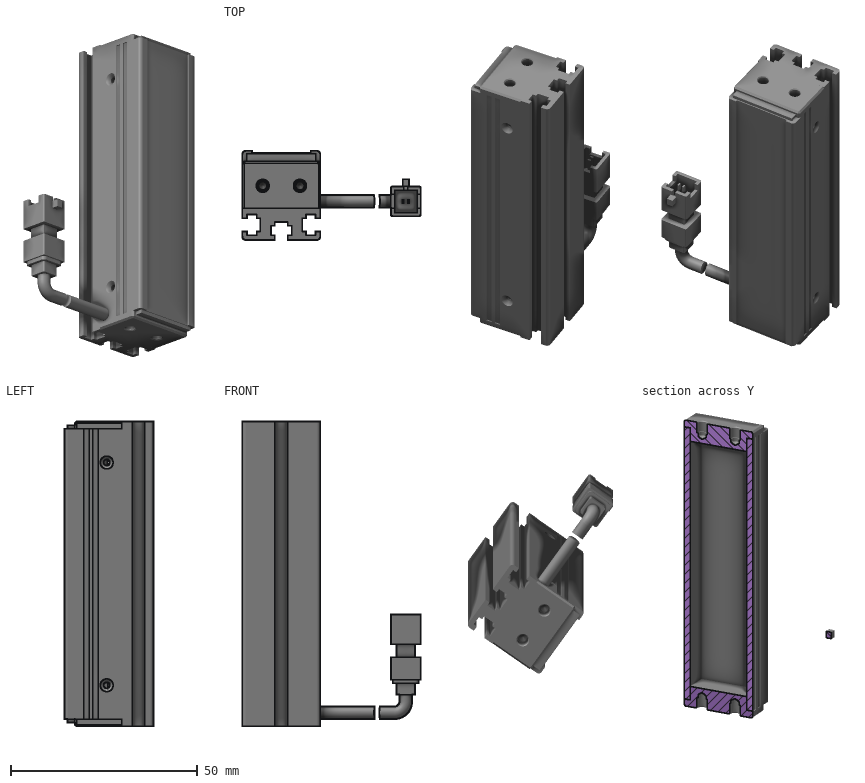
import cadquery as cq
import math


LENGTH = 82.0
WIDTH = 21.0
DEPTH = 24.0
CORNER_RADIUS = 1.0
MID_Z = LENGTH / 2

SLOT_OPENING = 3.45
SLOT_LIP = 1.3
SLOT_UNDERCUT_WIDTH = 5.5
SLOT_UNDERCUT_END = 3.85
SLOT_DEPTH = 4.8
SIDE_SLOT_Y = 4.1

GROOVE_WIDTH = 1.5
GROOVE_DEPTH = 0.3
GROOVE_CENTRES_Y = (15.6, 18.1)

CAVITY_BACK_Y = 8.5
CAVITY_FRONT_Y = 21.15
CAVITY_DEPTH = CAVITY_FRONT_Y - CAVITY_BACK_Y
SIDE_WALL = 2.0
CAVITY_WIDTH = WIDTH - 2 * SIDE_WALL

SIDE_HOLE_Y = 12.6
SIDE_HOLE_OFFSET_Z = 29.9
SIDE_HOLE_RADIUS = 0.8
SIDE_SINK_RADIUS = 1.7

DIFFUSER_WIDTH = 18.6
DIFFUSER_FRONT_Y = 23.2
DIFFUSER_LENGTH = 79.95
WINDOW_WIDTH = 15.75
PAD_HEIGHT = 0.25

CAP_THICKNESS = 2.0
CAP_CHAMFER = 0.5
PLUG_LENGTH = 4.0
CAP_HOLE_OFFSET_X = 5.0
CAP_HOLE_Y = 14.6
CAP_SINK_RADIUS = 1.7
THREAD_RADIUS = 1.5
THREAD_DEPTH = 3.0
DRILL_RADIUS = 1.15
DRILL_DEPTH = 4.0
DRILL_POINT_ANGLE = 118.0

BODY_LENGTH = LENGTH - 2 * CAP_THICKNESS

BOARD_BACK_Y = 12.4
BOARD_THICKNESS = 1.6
BOARD_LENGTH = BODY_LENGTH - 2 * PLUG_LENGTH

CABLE_RADIUS = 1.7
CABLE_Y = 10.4
CABLE_Z = CAP_THICKNESS + CABLE_RADIUS
STUB_END_X = 25.1
BREAK_GAP = 1.4
BREAK_SAG = 0.205
BEND_RADIUS = 3.0

CONNECTOR_X = 33.45
BOOT_WIDTH = 5.0
BOOT_BOTTOM_Z = 8.5
FLANGE_WIDTH = 7.05
FLANGE_BOTTOM_Z = 11.6
FLANGE_RADIUS = 1.1
BLOCK_WIDTH = 8.0
BLOCK_BOTTOM_Z = 12.55
BLOCK_RADIUS = 0.5
NECK_BOTTOM_Z = 18.6
SHELL_BOTTOM_Z = 22.05
SHELL_TOP_Z = 30.1
SHELL_WALL = 1.0
SOCKET_WIDTH = BLOCK_WIDTH - 2 * SHELL_WALL
SOCKET_FLOOR_Z = SHELL_BOTTOM_Z + SHELL_WALL
SIDE_NOTCH_WIDTH = 3.8
NOTCH_DEPTH = 2.0
KEY_SLOT_WIDTH = 1.0
LUG_WIDTH = 1.7
LUG_REACH = 2.0
LUG_HEIGHT = 2.0
LUG_DROP = 1.3
CONTACT_SIZE_X = 0.5
CONTACT_SIZE_Y = 1.0
CONTACT_OFFSET_X = 0.7
CONTACT_DROP = 0.5


def box(size_x, size_y, size_z, x=0.0, y=0.0, z=0.0):
    """Box centred on x and standing up from y and z."""
    return cq.Workplane("XY").box(size_x, size_y, size_z, centered=(True, False, False)).translate((x, y, z))


def post(width, bottom, top, corner_radius=0.0):
    """Square post on the connector axis."""
    solid = (
        cq.Workplane("XY", origin=(CONNECTOR_X, CABLE_Y, bottom))
        .rect(width, width)
        .extrude(top - bottom)
    )
    return solid.edges("|Z").fillet(corner_radius) if corner_radius else solid


def t_slot():
    """Full-length T-slot cutter that opens on the plane Y = 0 and runs toward +Y."""
    half_opening = SLOT_OPENING / 2
    half_undercut = SLOT_UNDERCUT_WIDTH / 2
    return (
        cq.Workplane("XY")
        .moveTo(-half_opening, 0)
        .lineTo(-half_opening, SLOT_LIP)
        .lineTo(-half_undercut, SLOT_LIP)
        .lineTo(-half_undercut, SLOT_UNDERCUT_END)
        .lineTo(-half_opening, SLOT_UNDERCUT_END)
        .lineTo(-half_opening, SLOT_DEPTH)
        .lineTo(half_opening, SLOT_DEPTH)
        .lineTo(half_opening, SLOT_UNDERCUT_END)
        .lineTo(half_undercut, SLOT_UNDERCUT_END)
        .lineTo(half_undercut, SLOT_LIP)
        .lineTo(half_opening, SLOT_LIP)
        .lineTo(half_opening, 0)
        .close()
        .extrude(LENGTH)
    )


def side_hole(side, z):
    """45-degree countersink and hole through one side wall; side is -1 or +1."""
    face = cq.Vector(side * WIDTH / 2, SIDE_HOLE_Y, z)
    inward = cq.Vector(-side, 0, 0)
    sink_depth = SIDE_SINK_RADIUS - SIDE_HOLE_RADIUS
    sink = cq.Solid.makeCone(SIDE_SINK_RADIUS, SIDE_HOLE_RADIUS, sink_depth, face, inward)
    bore = cq.Solid.makeCylinder(SIDE_HOLE_RADIUS, SIDE_WALL, face, inward)
    return cq.Workplane(sink).union(cq.Workplane(bore))


def make_housing():
    body = box(WIDTH, DEPTH, LENGTH).edges("|Z").fillet(CORNER_RADIUS)

    slot = t_slot()
    body = body.cut(slot)
    for side in (-1, 1):
        side_slot = slot.rotate((0, 0, 0), (0, 0, 1), side * 90).translate((side * WIDTH / 2, SIDE_SLOT_Y, 0))
        body = body.cut(side_slot)

    for z in (0, LENGTH - CAP_THICKNESS):
        body = body.cut(box(WIDTH, DEPTH - CAVITY_BACK_Y, CAP_THICKNESS, y=CAVITY_BACK_Y, z=z))

    body = body.cut(box(CAVITY_WIDTH, CAVITY_DEPTH, LENGTH, y=CAVITY_BACK_Y))
    body = body.cut(box(DIFFUSER_WIDTH, DIFFUSER_FRONT_Y - CAVITY_FRONT_Y, LENGTH, y=CAVITY_FRONT_Y))
    body = body.cut(box(WINDOW_WIDTH, DEPTH - DIFFUSER_FRONT_Y, LENGTH, y=DIFFUSER_FRONT_Y))

    for side in (-1, 1):
        for y in GROOVE_CENTRES_Y:
            groove = box(2 * GROOVE_DEPTH, GROOVE_WIDTH, LENGTH, x=side * WIDTH / 2, y=y - GROOVE_WIDTH / 2)
            body = body.cut(groove)
        for offset in (-SIDE_HOLE_OFFSET_Z, SIDE_HOLE_OFFSET_Z):
            body = body.cut(side_hole(side, MID_Z + offset))
    return body


def make_diffuser():
    thickness = DIFFUSER_FRONT_Y - CAVITY_FRONT_Y
    plate = box(DIFFUSER_WIDTH, thickness, DIFFUSER_LENGTH, y=CAVITY_FRONT_Y, z=MID_Z - DIFFUSER_LENGTH / 2)
    pad = box(WINDOW_WIDTH, PAD_HEIGHT, BODY_LENGTH, y=DIFFUSER_FRONT_Y, z=CAP_THICKNESS)
    return plate.union(pad)


def make_board():
    return box(CAVITY_WIDTH, BOARD_THICKNESS, BOARD_LENGTH, y=BOARD_BACK_Y, z=MID_Z - BOARD_LENGTH / 2)


def make_top_cap():
    cap = box(WIDTH, CAVITY_DEPTH, CAP_THICKNESS, y=CAVITY_BACK_Y, z=LENGTH - CAP_THICKNESS)
    cap = cap.faces(">Y").edges("|Z").chamfer(CAP_CHAMFER)
    cap = cap.faces(">Z").edges("not(<Y)").chamfer(CAP_CHAMFER)

    plug_z = LENGTH - CAP_THICKNESS - PLUG_LENGTH
    cap = cap.union(box(CAVITY_WIDTH, CAVITY_DEPTH, PLUG_LENGTH, y=CAVITY_BACK_Y, z=plug_z))

    sink_depth = CAP_SINK_RADIUS - THREAD_RADIUS
    point_depth = DRILL_RADIUS / math.tan(math.radians(DRILL_POINT_ANGLE / 2))
    hole = (
        cq.Workplane("XZ")
        .lineTo(CAP_SINK_RADIUS, 0)
        .lineTo(THREAD_RADIUS, -sink_depth)
        .lineTo(THREAD_RADIUS, -THREAD_DEPTH)
        .lineTo(DRILL_RADIUS, -THREAD_DEPTH)
        .lineTo(DRILL_RADIUS, -DRILL_DEPTH)
        .lineTo(0, -DRILL_DEPTH - point_depth)
        .close()
        .revolve(360, (0, 0, 0), (0, 1, 0))
    )
    for x in (-CAP_HOLE_OFFSET_X, CAP_HOLE_OFFSET_X):
        cap = cap.cut(hole.translate((x, CAP_HOLE_Y, LENGTH)))
    return cap


def make_end_caps():
    top_cap = make_top_cap()
    return [top_cap, top_cap.mirror("XY", (0, 0, MID_Z))]


def break_cutter(tip_x, end_x):
    """Block from a curved face, bulging toward +X with its crest at tip_x, to a flat face at end_x."""
    return (
        cq.Workplane("XY")
        .moveTo(end_x, CABLE_Y - CABLE_RADIUS)
        .lineTo(tip_x - BREAK_SAG, CABLE_Y - CABLE_RADIUS)
        .threePointArc((tip_x, CABLE_Y), (tip_x - BREAK_SAG, CABLE_Y + CABLE_RADIUS))
        .lineTo(end_x, CABLE_Y + CABLE_RADIUS)
        .close()
        .extrude(CABLE_Z + CABLE_RADIUS)
    )


def make_cable_stub():
    start_x = WIDTH / 2
    stub = (
        cq.Workplane("YZ", origin=(start_x, CABLE_Y, CABLE_Z))
        .circle(CABLE_RADIUS)
        .extrude(STUB_END_X - start_x)
    )
    return stub.cut(break_cutter(STUB_END_X, CONNECTOR_X))


def make_cable_end():
    tip_x = STUB_END_X + BREAK_GAP
    start_x = tip_x - BREAK_SAG
    bend_start_x = CONNECTOR_X - BEND_RADIUS
    bend_end_z = CABLE_Z + BEND_RADIUS
    bend_reach = BEND_RADIUS * math.sin(math.radians(45))
    bend_middle = (bend_start_x + bend_reach, bend_end_z - bend_reach)
    path = (
        cq.Workplane("XZ", origin=(0, CABLE_Y, 0))
        .moveTo(start_x, CABLE_Z)
        .lineTo(bend_start_x, CABLE_Z)
        .threePointArc(bend_middle, (CONNECTOR_X, bend_end_z))
        .lineTo(CONNECTOR_X, BOOT_BOTTOM_Z)
    )
    cable = cq.Workplane("YZ", origin=(start_x, CABLE_Y, CABLE_Z)).circle(CABLE_RADIUS).sweep(path)
    return cable.cut(break_cutter(tip_x, WIDTH / 2))


def make_connector():
    body = post(BOOT_WIDTH, BOOT_BOTTOM_Z, FLANGE_BOTTOM_Z, BLOCK_RADIUS)
    body = body.union(post(FLANGE_WIDTH, FLANGE_BOTTOM_Z, BLOCK_BOTTOM_Z, FLANGE_RADIUS))
    body = body.union(post(BLOCK_WIDTH, BLOCK_BOTTOM_Z, NECK_BOTTOM_Z, BLOCK_RADIUS))
    body = body.union(post(BOOT_WIDTH, NECK_BOTTOM_Z, SHELL_BOTTOM_Z))
    body = body.union(post(BLOCK_WIDTH, SHELL_BOTTOM_Z, SHELL_TOP_Z, BLOCK_RADIUS))

    body = body.cut(post(SOCKET_WIDTH, SOCKET_FLOOR_Z, SHELL_TOP_Z))
    notch_z = SHELL_TOP_Z - NOTCH_DEPTH
    notch_y = CABLE_Y - SIDE_NOTCH_WIDTH / 2
    body = body.cut(box(BLOCK_WIDTH, SIDE_NOTCH_WIDTH, NOTCH_DEPTH, CONNECTOR_X, notch_y, notch_z))
    body = body.cut(box(KEY_SLOT_WIDTH, BLOCK_WIDTH / 2, NOTCH_DEPTH, CONNECTOR_X, CABLE_Y, notch_z))

    lug_z = SHELL_TOP_Z - LUG_DROP - LUG_HEIGHT
    body = body.union(box(LUG_WIDTH, LUG_REACH, LUG_HEIGHT, CONNECTOR_X, CABLE_Y + BLOCK_WIDTH / 2, lug_z))

    contact_height = SHELL_TOP_Z - CONTACT_DROP - SOCKET_FLOOR_Z
    contact_y = CABLE_Y - CONTACT_SIZE_Y / 2
    for offset in (-CONTACT_OFFSET_X, CONTACT_OFFSET_X):
        contact_x = CONNECTOR_X + offset
        contact = box(CONTACT_SIZE_X, CONTACT_SIZE_Y, contact_height, contact_x, contact_y, SOCKET_FLOOR_Z)
        body = body.union(contact)
    return body


housing = make_housing()
diffuser = make_diffuser()
board = make_board()
end_caps = make_end_caps()
cable_stub = make_cable_stub()
cable_end = make_cable_end()
connector = make_connector()

result = cq.Compound.makeCompound(
    [
        housing.val(),
        diffuser.val(),
        board.val(),
        *[cap.val() for cap in end_caps],
        cable_stub.val(),
        cable_end.val(),
        connector.val(),
    ]
)